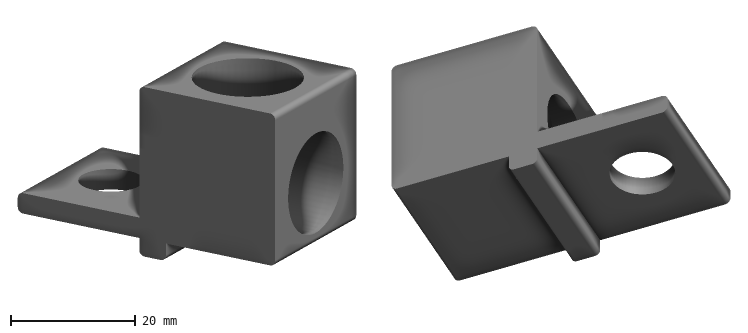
import cadquery as cq

length = 48.5
width = 25.0
height = 29.0

foot_height = 3.0
tongue_thickness = 3.5
tongue_top = foot_height + tongue_thickness
block_length = 25.6
block_start = length - block_length
foot_length = 5.0
edge_radius = 0.95

bolt_diameter = 10.55
bolt_x = 9.95
bore_diameter = 17.0
bore_z = 13.4
top_hole_diameter = 18.05
top_hole_x = block_start + block_length / 2


def make_body():
    """Block with a tongue and a foot, rounded at every outer corner."""
    profile = [
        (0, foot_height),
        (block_start, foot_height),
        (block_start, 0),
        (block_start + foot_length, 0),
        (block_start + foot_length, foot_height),
        (length, foot_height),
        (length, height),
        (block_start, height),
        (block_start, tongue_top),
        (0, tongue_top),
    ]
    body = cq.Workplane("XZ").polyline(profile).close().extrude(width / 2, both=True)

    rounded_corners = [
        (0, foot_height),
        (0, tongue_top),
        (block_start, 0),
        (block_start + foot_length, 0),
        (length, foot_height),
        (length, height),
        (block_start, height),
    ]
    for x, z in rounded_corners:
        body = body.edges(cq.selectors.NearestToPointSelector((x, 0, z))).fillet(edge_radius)
    return body


def bolt_hole():
    """Vertical hole through the tongue."""
    return (
        cq.Workplane("XY", origin=(bolt_x, 0, foot_height))
        .circle(bolt_diameter / 2)
        .extrude(tongue_thickness)
    )


def cable_bore():
    """Horizontal bore through the block, stopping at its tongue-side face."""
    return (
        cq.Workplane("YZ", origin=(block_start, 0, bore_z))
        .circle(bore_diameter / 2)
        .extrude(block_length)
    )


def top_hole():
    """Vertical hole from the top of the block down to the bore axis."""
    return (
        cq.Workplane("XY", origin=(top_hole_x, 0, bore_z))
        .circle(top_hole_diameter / 2)
        .extrude(height - bore_z)
    )


result = make_body().cut(bolt_hole()).cut(cable_bore()).cut(top_hole())